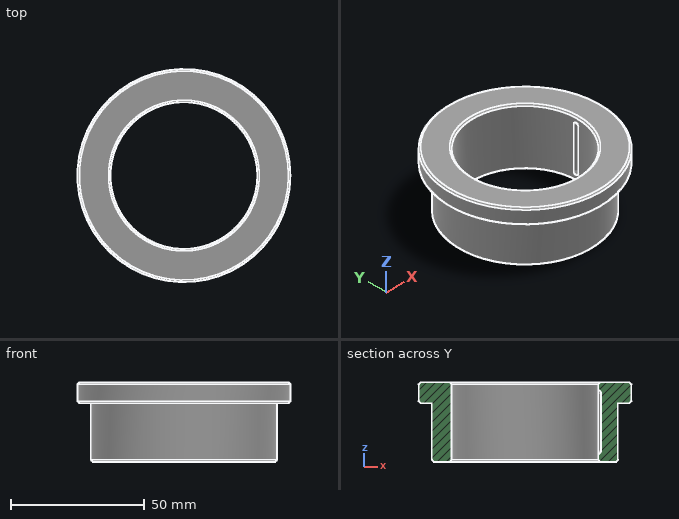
import cadquery as cq

flange_diameter = 80.0
body_diameter = 70.0
bore_diameter = 55.0
total_height = 30.0
flange_thickness = 8.0
edge_chamfer = 0.8

groove_radius = 1.25
groove_depth = 1.0
groove_length = 24.0


def flanged_sleeve():
    """Sleeve with a flange on top and chamfers on its outer edges and bore mouths."""
    body_height = total_height - flange_thickness
    body = cq.Workplane("XY").circle(body_diameter / 2).extrude(body_height)
    body = body.faces("<Z").chamfer(edge_chamfer)
    flange = (
        cq.Workplane("XY", origin=(0, 0, body_height))
        .circle(flange_diameter / 2)
        .extrude(flange_thickness)
        .faces("<Z or >Z")
        .chamfer(edge_chamfer)
    )
    bore = cq.Workplane("XY").circle(bore_diameter / 2).extrude(total_height)
    sleeve = body.union(flange).cut(bore)
    bore_mouths = cq.selectors.RadiusNthSelector(0)
    return sleeve.edges(bore_mouths).chamfer(edge_chamfer)


def groove_cutter():
    """Upright ball-ended rod at mid-height, reaching into the bore wall by the groove depth."""
    straight_length = groove_length - 2 * groove_radius
    axis_x = bore_diameter / 2 + groove_depth - groove_radius
    start_height = (total_height - straight_length) / 2
    end_height = start_height + straight_length

    cutter = (
        cq.Workplane("XY", origin=(axis_x, 0, start_height))
        .circle(groove_radius)
        .extrude(straight_length)
    )
    for ball_height in (start_height, end_height):
        ball = cq.Workplane("XY", origin=(axis_x, 0, ball_height)).sphere(groove_radius)
        cutter = cutter.union(ball)
    return cutter


result = flanged_sleeve().cut(groove_cutter())